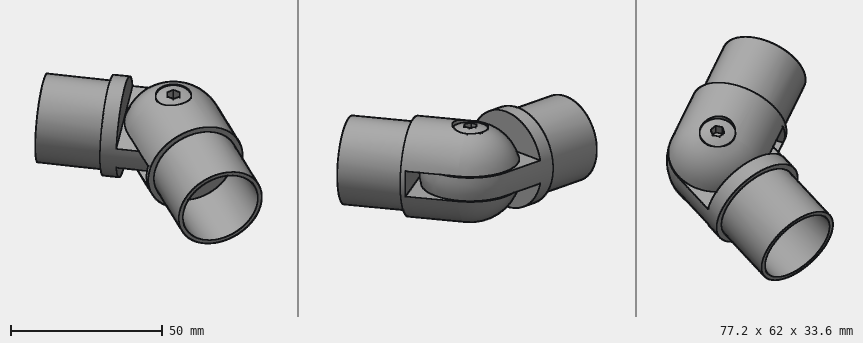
import cadquery as cq
import math

ball_radius = 16.8
tube_radius = 14.8
bore_radius = 13.35
tube_length = 22.1
cut_reach = 1.5 * ball_radius

arm_shoulder = 21.85
arm_angle = 238.6
tongue_width = 8.2
tongue_length = 16.45

overall_length = 77.2
arm_reach = (
    -(arm_shoulder + tube_length) * math.cos(math.radians(arm_angle))
    - tube_radius * math.sin(math.radians(arm_angle))
)
housing_shoulder = overall_length - arm_reach - tube_length
slot_width = 8.95
slot_end = 17.9

screw_radius = 5.95
screw_edge_height = 15.3
dome_rise = 1.2
screw_bottom = -slot_width / 2
hex_corner_diameter = 4.6
hex_depth = 3.9
hex_turn = 38.0


def ball_ended_tube(shoulder):
    """Revolve a ball end, a cylinder up to the shoulder and a bored tube about the X axis."""
    tube_end = shoulder + tube_length
    half_chord = ball_radius * math.sqrt(0.5)
    return (
        cq.Workplane("XY")
        .moveTo(-ball_radius, 0)
        .threePointArc((-half_chord, half_chord), (0, ball_radius))
        .lineTo(shoulder, ball_radius)
        .lineTo(shoulder, tube_radius)
        .lineTo(tube_end, tube_radius)
        .lineTo(tube_end, bore_radius)
        .lineTo(shoulder, bore_radius)
        .lineTo(shoulder, 0)
        .close()
        .revolve(360, (0, 0, 0), (1, 0, 0))
    )


def ball_side_block(end_x, z_low, z_high):
    """Block that covers the ball end up to end_x, between two heights."""
    return (
        cq.Workplane("XY", origin=(0, 0, z_low))
        .moveTo(-cut_reach, -cut_reach)
        .lineTo(end_x, -cut_reach)
        .lineTo(end_x, cut_reach)
        .lineTo(-cut_reach, cut_reach)
        .close()
        .extrude(z_high - z_low)
    )


def screw_hole():
    """Cutter for the screw hole, open at the top of the ball."""
    return (
        cq.Workplane("XY", origin=(0, 0, screw_bottom))
        .circle(screw_radius)
        .extrude(cut_reach - screw_bottom)
    )


def make_housing():
    slot = ball_side_block(slot_end, -slot_width / 2, slot_width / 2)
    return ball_ended_tube(housing_shoulder).cut(slot).cut(screw_hole())


def make_arm():
    """Ball-ended tube with both sides of the ball cut flat, leaving the tongue."""
    arm = ball_ended_tube(arm_shoulder)
    arm = arm.cut(ball_side_block(tongue_length, tongue_width / 2, cut_reach))
    arm = arm.cut(ball_side_block(tongue_length, -cut_reach, -tongue_width / 2))
    arm = arm.cut(screw_hole())
    return arm.rotate((0, 0, 0), (0, 0, 1), arm_angle)


def make_screw():
    """Plain pivot screw with a domed head and a hex socket."""
    dome_top = screw_edge_height + dome_rise
    dome_radius = (screw_radius**2 + dome_rise**2) / (2 * dome_rise)
    mid_radius = screw_radius / 2
    mid_height = dome_top - dome_radius + math.sqrt(dome_radius**2 - mid_radius**2)
    screw = (
        cq.Workplane("XZ")
        .moveTo(0, screw_bottom)
        .lineTo(screw_radius, screw_bottom)
        .lineTo(screw_radius, screw_edge_height)
        .threePointArc((mid_radius, mid_height), (0, dome_top))
        .close()
        .revolve(360, (0, 0, 0), (0, 1, 0))
    )
    socket = (
        cq.Workplane("XY", origin=(0, 0, dome_top))
        .polygon(6, hex_corner_diameter)
        .extrude(-hex_depth)
        .rotate((0, 0, 0), (0, 0, 1), hex_turn)
    )
    return screw.cut(socket)


housing = make_housing()
arm = make_arm()
screw = make_screw()

result = cq.Compound.makeCompound([housing.solids().val(), arm.solids().val(), screw.solids().val()])